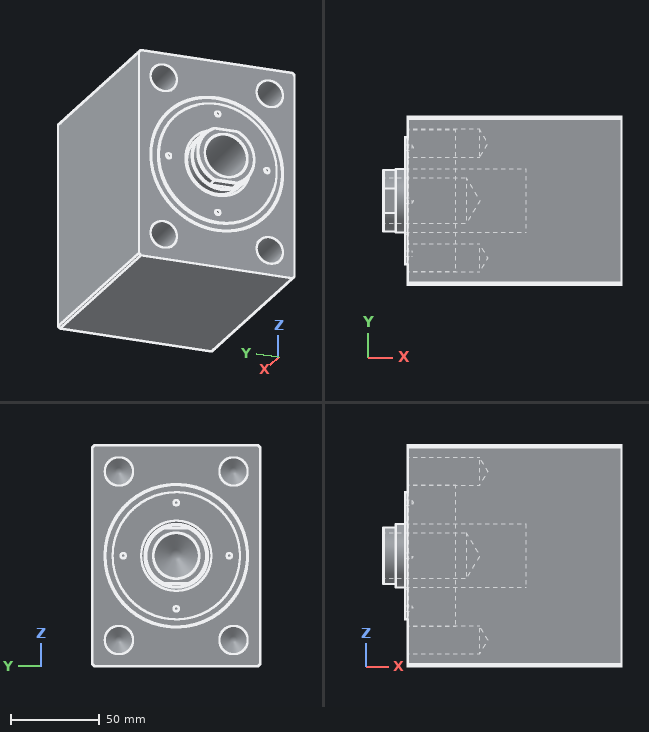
import cadquery as cq
import math

FULL_TURN = 360.0

LENGTH = 135.0
WIDTH = 95.0
HEIGHT = 125.0

HOUSING_FACE_X = 14.0
HOUSING_EDGE_CHAMFER = 1.2
MOUNTING_HOLE_DIAMETER = 16.0
MOUNTING_HOLE_DEPTH = 40.5
MOUNTING_HOLE_SPACING_Y = 64.8
MOUNTING_HOLE_SPACING_Z = 95.3
DRILL_POINT_ANGLE = 118.0

GLAND_DIAMETER = 80.0
GLAND_DEPTH = 27.0
GLAND_SEAT_CHAMFER = 0.5
GLAND_BOSS_DIAMETER = 72.0
GLAND_BOSS_HEIGHT = 1.6
ROD_MOUTH_DIAMETER = 39.7
SPANNER_HOLE_DIAMETER = 3.0
SPANNER_HOLE_DEPTH = 4.0
SPANNER_HOLE_CIRCLE_RADIUS = 30.0
SPANNER_HOLE_COUNT = 4

ROD_DIAMETER = 36.0
ROD_LENGTH = 81.0
ROD_SHOULDER_X = 7.0
ROD_SHOULDER_CHAMFER = 0.5
ROD_END_DIAMETER = 35.0
ROD_END_CHAMFER = 0.5
ACROSS_FLATS = 32.0
ROD_BORE_DIAMETER = 25.6
ROD_BORE_DEPTH = 47.2
ROD_BORE_CHAMFER = 0.3

GLAND_FACE_X = HOUSING_FACE_X - GLAND_BOSS_HEIGHT
GLAND_BOTTOM_X = HOUSING_FACE_X + GLAND_DEPTH


def cylinder(start_x, end_x, diameter):
    """Solid cylinder along X, centred on the rod axis."""
    return cq.Workplane("YZ", origin=(start_x, 0, 0)).circle(diameter / 2).extrude(end_x - start_x)


def cone(start_x, start_diameter, end_x, end_diameter):
    """Truncated cone along X, centred on the rod axis."""
    profile = [
        (start_x, 0),
        (start_x, start_diameter / 2),
        (end_x, end_diameter / 2),
        (end_x, 0),
    ]
    return cq.Workplane("XY").polyline(profile).close().revolve(FULL_TURN, (0, 0, 0), (1, 0, 0))


def drilled_hole(start_x, diameter, depth):
    """Blind hole along X with a conical drill point below its full-diameter depth."""
    radius = diameter / 2
    bottom_x = start_x + depth
    tip_x = bottom_x + radius / math.tan(math.radians(DRILL_POINT_ANGLE / 2))
    profile = [(start_x, 0), (start_x, radius), (bottom_x, radius), (tip_x, 0)]
    return cq.Workplane("XY").polyline(profile).close().revolve(FULL_TURN, (0, 0, 0), (1, 0, 0))


def make_housing():
    block_length = LENGTH - HOUSING_FACE_X
    block = (
        cq.Workplane("YZ", origin=(HOUSING_FACE_X, 0, 0))
        .rect(WIDTH, HEIGHT)
        .extrude(block_length)
        .edges("|X")
        .chamfer(HOUSING_EDGE_CHAMFER)
    )

    mounting_hole = drilled_hole(HOUSING_FACE_X, MOUNTING_HOLE_DIAMETER, MOUNTING_HOLE_DEPTH)
    for side_y in (-1, 1):
        for side_z in (-1, 1):
            offset_y = side_y * MOUNTING_HOLE_SPACING_Y / 2
            offset_z = side_z * MOUNTING_HOLE_SPACING_Z / 2
            block = block.cut(mounting_hole.translate((0, offset_y, offset_z)))

    gland_seat = cylinder(HOUSING_FACE_X, GLAND_BOTTOM_X, GLAND_DIAMETER)
    seat_mouth_diameter = GLAND_DIAMETER + 2 * GLAND_SEAT_CHAMFER
    chamfer_end_x = HOUSING_FACE_X + GLAND_SEAT_CHAMFER
    seat_chamfer = cone(HOUSING_FACE_X, seat_mouth_diameter, chamfer_end_x, GLAND_DIAMETER)
    rod_hole = cylinder(GLAND_BOTTOM_X, ROD_LENGTH, ROD_DIAMETER)
    return block.cut(gland_seat).cut(seat_chamfer).cut(rod_hole)


def make_gland():
    boss = cylinder(GLAND_FACE_X, HOUSING_FACE_X, GLAND_BOSS_DIAMETER)
    gland = cylinder(HOUSING_FACE_X, GLAND_BOTTOM_X, GLAND_DIAMETER).union(boss)

    gland = gland.cut(cylinder(GLAND_FACE_X, GLAND_BOTTOM_X, ROD_DIAMETER))
    mouth_depth = (ROD_MOUTH_DIAMETER - ROD_DIAMETER) / 2
    gland = gland.cut(
        cone(GLAND_FACE_X, ROD_MOUTH_DIAMETER, GLAND_FACE_X + mouth_depth, ROD_DIAMETER)
    )

    spanner_hole = drilled_hole(GLAND_FACE_X, SPANNER_HOLE_DIAMETER, SPANNER_HOLE_DEPTH)
    spanner_hole = spanner_hole.translate((0, SPANNER_HOLE_CIRCLE_RADIUS, 0))
    for index in range(SPANNER_HOLE_COUNT):
        angle = index * FULL_TURN / SPANNER_HOLE_COUNT
        gland = gland.cut(spanner_hole.rotate((0, 0, 0), (1, 0, 0), angle))
    return gland


def make_rod():
    shaft = cylinder(ROD_SHOULDER_X, ROD_LENGTH, ROD_DIAMETER)
    shaft = shaft.faces("<X").edges().chamfer(ROD_SHOULDER_CHAMFER)

    flat_end = cylinder(0, ROD_SHOULDER_X, ROD_END_DIAMETER)
    flat_end = flat_end.intersect(
        cq.Workplane("YZ").rect(ROD_END_DIAMETER, ACROSS_FLATS).extrude(ROD_SHOULDER_X)
    )
    flat_end = flat_end.faces("<X").edges().chamfer(ROD_END_CHAMFER)

    bore = drilled_hole(0, ROD_BORE_DIAMETER, ROD_BORE_DEPTH)
    bore_mouth_diameter = ROD_BORE_DIAMETER + 2 * ROD_BORE_CHAMFER
    bore_chamfer = cone(0, bore_mouth_diameter, ROD_BORE_CHAMFER, ROD_BORE_DIAMETER)
    return shaft.union(flat_end).cut(bore).cut(bore_chamfer)


housing = make_housing()
gland = make_gland()
rod = make_rod()

result = cq.Compound.makeCompound([housing.val(), gland.val(), rod.val()])